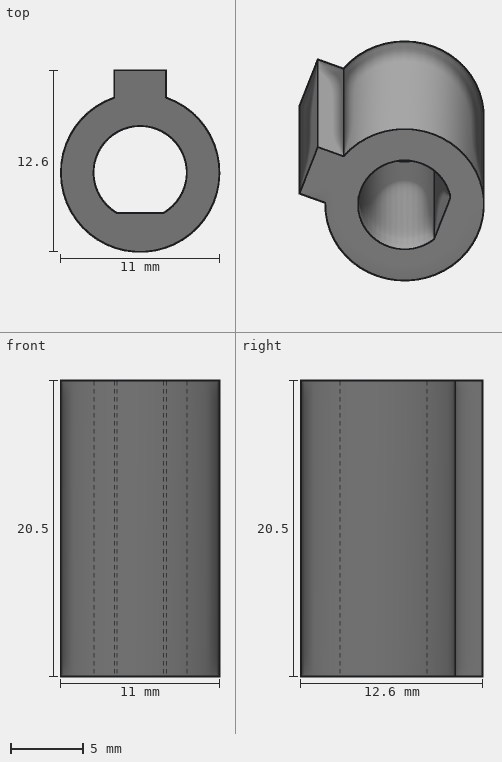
import cadquery as cq

length = 20.5
outer_diameter = 10.99
bore_diameter = 6.44
flat_distance = 2.79
key_width = 3.6
key_reach = 7.1


def make_sleeve():
    """Round sleeve body standing on the XY plane."""
    return cq.Workplane("XY").circle(outer_diameter / 2).extrude(length)


def make_key():
    """Full-length key on the +Y side, rooted at the sleeve axis."""
    return cq.Workplane("XY").box(key_width, key_reach, length, centered=(True, False, False))


def make_d_bore():
    """Through bore with a flat on its -Y side."""
    bore_radius = bore_diameter / 2
    cylinder = cq.Workplane("XY").circle(bore_radius).extrude(length)
    flat_limit = (
        cq.Workplane("XY")
        .box(bore_diameter, flat_distance + bore_radius, length, centered=(True, False, False))
        .translate((0, -flat_distance, 0))
    )
    return cylinder.intersect(flat_limit)


result = make_sleeve().union(make_key()).cut(make_d_bore())